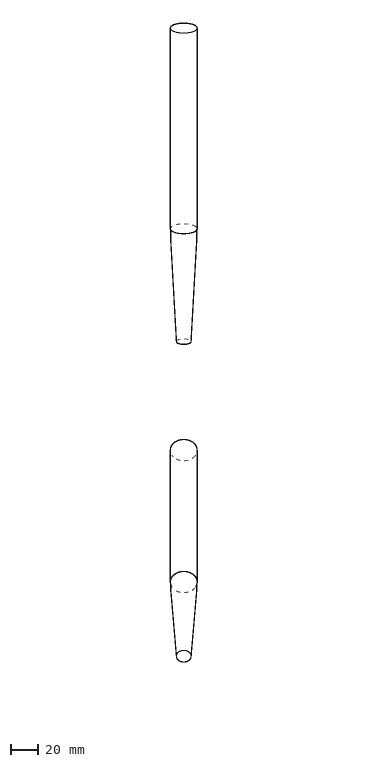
import cadquery as cq

total_length = 250.0
shank_diameter = 20.0
neck_step = 0.2
tip_diameter = 11.0
taper_length = 82.0
neck_length = 8.0

shank_radius = shank_diameter / 2
neck_radius = shank_radius - neck_step
shank_base = taper_length + neck_length

profile = (
    cq.Workplane("XZ")
    .lineTo(tip_diameter / 2, 0)
    .lineTo(neck_radius, taper_length)
    .lineTo(neck_radius, shank_base)
    .lineTo(shank_radius, shank_base)
    .lineTo(shank_radius, total_length)
    .lineTo(0, total_length)
    .close()
)

result = profile.revolve(360, (0, 0, 0), (0, 1, 0))